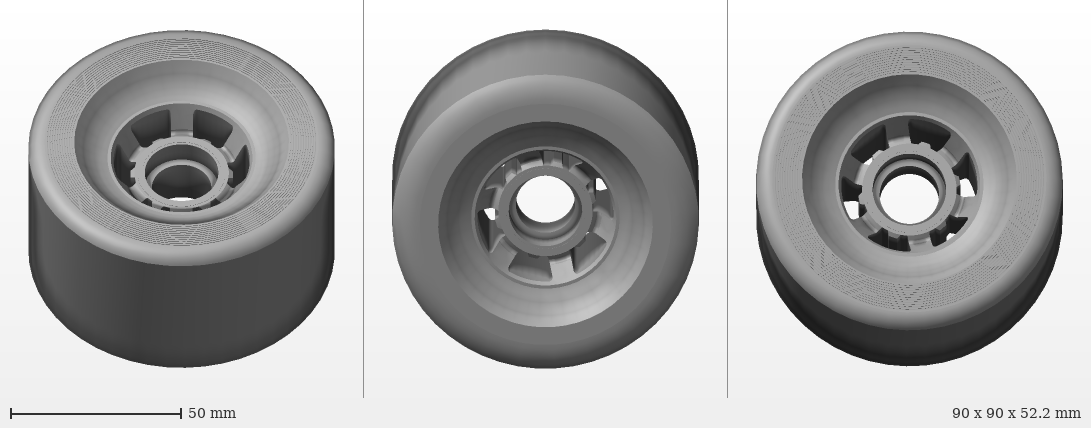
import cadquery as cq
import math

WHEEL_RADIUS = 45.0
WHEEL_WIDTH = 52.2
MID_HEIGHT = WHEEL_WIDTH / 2

SHOULDER_DEPTH = 2.8
TOP_LIP_RADIUS = 40.2
BOTTOM_LIP_RADIUS = 36.9
BOWL_RADIUS = 31.5
BOWL_MID_RADIUS = 27.45
BOWL_MID_DEPTH = 4.3

GROOVE_COUNT = 11
FIRST_GROOVE_RADIUS = 32.2
GROOVE_PITCH = 0.7
GROOVE_WIDTH = 0.3
GROOVE_DEPTH = 0.2

CORE_RADIUS = 21.8
CORE_DEPTH = 7.1
RIM_INNER_RADIUS = 20.8

CONE_FOOT_RADIUS = 16.6
CONE_FOOT_DEPTH = 14.0
VALLEY_MID_RADIUS = 15.9
VALLEY_MID_DEPTH = 14.85
COLLAR_RADIUS = 15.2
COLLAR_DEPTH = 14.85

HUB_RADIUS = 13.9
HUB_DEPTH = 13.9
HUB_STEP = 0.1
HUB_FACE_OUTER_RADIUS = 13.0
HUB_FACE_INNER_RADIUS = 11.6
SEAT_RADIUS = 10.8
SEAT_LENGTH = 7.0
BORE_RADIUS = 8.7

SPOKE_COUNT = 6
SPOKE_WIDTH = 6.5
SPOKE_STEP_ANGLE = 360.0 / SPOKE_COUNT
WINDOW_RADIUS = 20.0
WINDOW_OUTER_FILLET = 0.9
WINDOW_INNER_FILLET = 0.4
KEY_TIP_RADIUS = 15.0
KEY_TIP_WIDTH = 2.5
KEY_BASE_WIDTH = 3.8


def from_top(radius, depth):
    """Profile point at a depth below the top lip."""
    return (radius, WHEEL_WIDTH - depth)


def from_bottom(radius, depth):
    """Profile point at a depth above the bottom lip."""
    return (radius, depth)


def revolve_about_axle(profile):
    """Turn a closed (radius, height) profile on the XZ plane about Z."""
    return profile.close().revolve(360, (0, 0, 0), (0, 1, 0))


def cylinder(radius, height, base=0.0):
    """Upright cylinder about the axle, standing at the base height."""
    return cq.Workplane("XY").workplane(offset=base).circle(radius).extrude(height)


def shoulder_mid(lip_radius):
    """Radius and depth halfway along a shoulder arc that leaves its lip tangentially."""
    reach = WHEEL_RADIUS - lip_radius
    arc_radius = (reach**2 + SHOULDER_DEPTH**2) / (2 * SHOULDER_DEPTH)
    half_sweep = math.asin(reach / arc_radius) / 2
    return (
        lip_radius + arc_radius * math.sin(half_sweep),
        arc_radius * (1 - math.cos(half_sweep)),
    )


def make_groove(radius):
    """Ring that cuts one groove in the top lip, centred on the given radius."""
    return (
        cq.Workplane("XY")
        .workplane(offset=WHEEL_WIDTH - GROOVE_DEPTH)
        .circle(radius + GROOVE_WIDTH / 2)
        .circle(radius - GROOVE_WIDTH / 2)
        .extrude(GROOVE_DEPTH)
    )


def make_tyre():
    profile = (
        cq.Workplane("XZ")
        .moveTo(*from_bottom(CORE_RADIUS, CORE_DEPTH))
        .threePointArc(from_bottom(BOWL_MID_RADIUS, BOWL_MID_DEPTH), from_bottom(BOWL_RADIUS, 0))
        .lineTo(*from_bottom(BOTTOM_LIP_RADIUS, 0))
        .threePointArc(
            from_bottom(*shoulder_mid(BOTTOM_LIP_RADIUS)),
            from_bottom(WHEEL_RADIUS, SHOULDER_DEPTH),
        )
        .lineTo(*from_top(WHEEL_RADIUS, SHOULDER_DEPTH))
        .threePointArc(
            from_top(*shoulder_mid(TOP_LIP_RADIUS)),
            from_top(TOP_LIP_RADIUS, 0),
        )
        .lineTo(*from_top(BOWL_RADIUS, 0))
        .threePointArc(from_top(BOWL_MID_RADIUS, BOWL_MID_DEPTH), from_top(CORE_RADIUS, CORE_DEPTH))
    )
    tyre = revolve_about_axle(profile)
    for index in range(GROOVE_COUNT):
        tyre = tyre.cut(make_groove(FIRST_GROOVE_RADIUS + index * GROOVE_PITCH))
    return tyre


def make_end_cavity():
    """Hollow that shapes the upper end of the core: rim, spoke faces, hub and bearing seat."""
    profile = (
        cq.Workplane("XZ")
        .moveTo(*from_top(0, CORE_DEPTH))
        .lineTo(*from_top(RIM_INNER_RADIUS, CORE_DEPTH))
        .lineTo(*from_top(CONE_FOOT_RADIUS, CONE_FOOT_DEPTH))
        .threePointArc(
            from_top(VALLEY_MID_RADIUS, VALLEY_MID_DEPTH),
            from_top(COLLAR_RADIUS, COLLAR_DEPTH),
        )
        .lineTo(*from_top(HUB_RADIUS, HUB_DEPTH + HUB_STEP))
        .lineTo(*from_top(HUB_FACE_OUTER_RADIUS, HUB_DEPTH + HUB_STEP))
        .lineTo(*from_top(HUB_FACE_OUTER_RADIUS, HUB_DEPTH))
        .lineTo(*from_top(HUB_FACE_INNER_RADIUS, HUB_DEPTH))
        .lineTo(*from_top(HUB_FACE_INNER_RADIUS, HUB_DEPTH + HUB_STEP))
        .lineTo(*from_top(SEAT_RADIUS, HUB_DEPTH + HUB_STEP))
        .lineTo(*from_top(SEAT_RADIUS, HUB_DEPTH + SEAT_LENGTH))
        .lineTo(*from_top(0, HUB_DEPTH + SEAT_LENGTH))
    )
    return revolve_about_axle(profile)


def make_key():
    """Tapered key on the +X side of the hub, as tall as the wheel."""
    outline = [
        (0, -KEY_BASE_WIDTH / 2),
        (HUB_RADIUS, -KEY_BASE_WIDTH / 2),
        (KEY_TIP_RADIUS, -KEY_TIP_WIDTH / 2),
        (KEY_TIP_RADIUS, KEY_TIP_WIDTH / 2),
        (HUB_RADIUS, KEY_BASE_WIDTH / 2),
        (0, KEY_BASE_WIDTH / 2),
    ]
    return cq.Workplane("XY").polyline(outline).close().extrude(WHEEL_WIDTH)


def make_window():
    """Cutter for the window on the +X side, between two spokes and around a key."""
    half_angle = math.radians(SPOKE_STEP_ANGLE / 2)
    half_width = SPOKE_WIDTH / 2

    def corner(radius, side):
        angle = half_angle - math.asin(half_width / radius)
        return (radius * math.cos(angle), side * radius * math.sin(angle))

    window = (
        cq.Workplane("XY")
        .moveTo(*corner(HUB_RADIUS, -1))
        .lineTo(*corner(WINDOW_RADIUS, -1))
        .threePointArc((WINDOW_RADIUS, 0), corner(WINDOW_RADIUS, 1))
        .lineTo(*corner(HUB_RADIUS, 1))
        .threePointArc((HUB_RADIUS, 0), corner(HUB_RADIUS, -1))
        .close()
        .extrude(WHEEL_WIDTH)
    )
    window = window.edges("|Z").edges(">Y or <Y").fillet(WINDOW_OUTER_FILLET)
    window = window.edges("|Z").edges("<X").fillet(WINDOW_INNER_FILLET)
    return window.cut(make_key())


def make_core():
    cavity = make_end_cavity()
    core = cylinder(CORE_RADIUS, WHEEL_WIDTH - 2 * CORE_DEPTH, CORE_DEPTH)
    core = core.cut(cylinder(BORE_RADIUS, WHEEL_WIDTH))
    core = core.cut(cavity).cut(cavity.mirror("XY", (0, 0, MID_HEIGHT)))
    window = make_window()
    for index in range(SPOKE_COUNT):
        core = core.cut(window.rotate((0, 0, 0), (0, 0, 1), index * SPOKE_STEP_ANGLE))
    return core


tyre = make_tyre()
core = make_core()
result = cq.Compound.makeCompound([tyre.solids().val(), core.solids().val()])